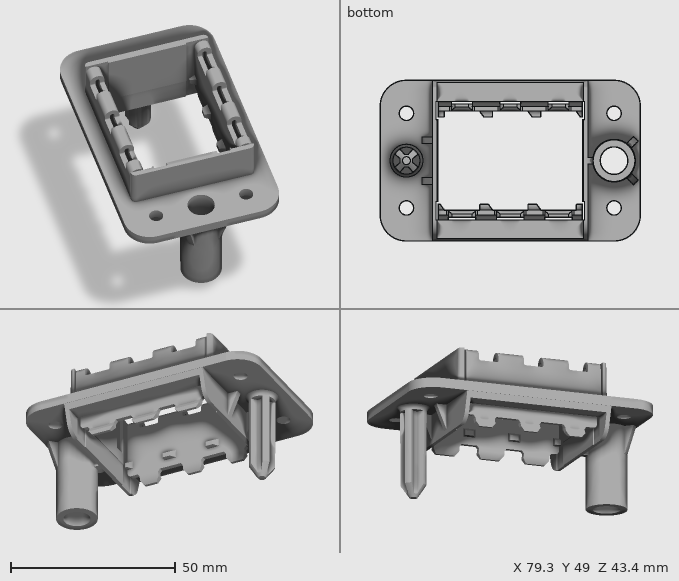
import cadquery as cq
import math

PLATE_LENGTH = 79.3
PLATE_WIDTH = 49.0
PLATE_THICKNESS = 3.0
PLATE_CORNER_RADIUS = 8.0
PLATE_BOTTOM = -PLATE_THICKNESS
FRAME_TOP = 11.9

FASTENER_X = 31.6
SCREW_Y = 14.4
SCREW_DIAMETER = 4.3
BORE_DIAMETER = 8.3

OPENING_HALF_X = 22.05
OPENING_HALF_Y = 18.0
RELIEF_HALF_X = 22.6
RELIEF_START_Y = 12.45

FRAME_HALF_Y = 19.65
END_WALL_BASE_X = 24.45
END_WALL_TOP_X = 24.2
END_WALL_CORNER_RADIUS = 1.5
POCKET_DEPTH = 1.05
POCKET_WIDTH = 4.2
POCKET_CENTRE_Y = 10.1
POCKET_FLOOR = -1.3

SKIRT_OUTER_X = 23.6
SKIRT_HALF_Y = 24.4
SKIRT_BOTTOM = -12.25
SKIRT_SLOPE = math.radians(18)
SKIRT_CORNER_RADIUS = 5.0
SKIRT_INNER_X = 22.25
SILL_BOTTOM = -5.0

SIDE_HALF_LENGTH = 21.95
INNER_WALL_Y = 15.05
INNER_WALL_THICKNESS = 1.5
INNER_WALL_BOTTOM = -8.1
INNER_WALL_CORNER_RADIUS = 1.2
ROLL_RADIUS = (FRAME_HALF_Y - INNER_WALL_Y) / 2
ROLL_Y = INNER_WALL_Y + ROLL_RADIUS
ROLL_Z = FRAME_TOP - ROLL_RADIUS
MODULE_PITCH = 14.7
WINDOW_POSITIONS = (-1, 0, 1)
HOOK_POSITIONS = (-1.5, -0.5, 0.5, 1.5)
WINDOW_BOTTOM = 8.4
WINDOW_CORNER_RADIUS = 0.5
WIDE_WINDOW = 8.35
NARROW_WINDOW = 6.3

TOE_BOTTOM = -11.7
TOE_SLOPE_TOP = -8.9
TOE_SLOPE_BOTTOM = -10.35
TOE_OUTER_Y = 17.3
TOE_CHAMFER = 1.1
TOE_ROOT_FLARE = 0.6
TOE_CURVE_TOP = -8.55
TOE_INNER_FOOT_Y = 16.3

HOOK_WIDTH = 4.0
HOOK_REACH = 1.8
HOOK_ROOT_TOP = -3.0
HOOK_TIP_TOP = -4.1
HOOK_BOTTOM = -5.6
HOOK_CHAMFER_X = 1.3
HOOK_CORNER_RADIUS = 0.4

BOSS_BASE_DIAMETER = 13.0
BOSS_END_DIAMETER = 12.7
BOSS_BOTTOM = -28.6
RIB_THICKNESS = 2.0
BOSS_RIB_REACH = 9.4
BOSS_RIB_BOTTOM = -11.65
BOSS_RIB_ANGLE = 45

GUSSET_Y = 6.2
GUSSET_BASE_X = 26.9
GUSSET_BOTTOM = -10.9

PIN_RADIUS = 4.0
PIN_BOTTOM = -31.5
PIN_TIP_RADIUS = 1.2
PIN_TAPER_START = -27.6
COLLAR_BASE_RADIUS = 5.0
COLLAR_RADIUS = 4.1
COLLAR_FLARE_BOTTOM = -4.5
GROOVE_FLOOR_RADIUS = 1.9
GROOVE_FLOOR_HALF = 0.57
GROOVE_MOUTH_HALF = 1.95

OVERLAP = 0.3

SIDES = (-1, 1)


def box(x0, x1, y0, y1, z0, z1):
    """Axis-aligned block between two opposite corners."""
    return cq.Workplane("XY").box(x1 - x0, y1 - y0, z1 - z0, centered=False).translate((x0, y0, z0))


def symmetric_box(half_x, half_y, z0, z1):
    return box(-half_x, half_x, -half_y, half_y, z0, z1)


def extrude_along_x(profile_yz, half_length):
    """Closed (Y, Z) profile extruded symmetrically about X = 0."""
    return cq.Workplane("YZ").polyline(profile_yz).close().extrude(half_length, both=True)


def extrude_along_y(profile_xz, length, y=0):
    """Closed (X, Z) profile extruded symmetrically about the given Y."""
    solid = cq.Workplane("XZ").polyline(profile_xz).close().extrude(length / 2, both=True)
    return solid.translate((0, y, 0))


def turn_about_z(solid, angle):
    return solid.rotate((0, 0, 0), (0, 0, 1), angle)


def make_plate():
    plate = cq.Workplane("XY").box(PLATE_LENGTH, PLATE_WIDTH, PLATE_THICKNESS)
    plate = plate.translate((0, 0, PLATE_BOTTOM / 2))
    return plate.edges("|Z").fillet(PLATE_CORNER_RADIUS)


def make_skirt():
    """Sloped skirt: deep at both ends, shallow sills along the long sides."""
    foot_y = SKIRT_HALF_Y - (PLATE_BOTTOM - SKIRT_BOTTOM) * math.tan(SKIRT_SLOPE)
    outline = [
        (-SKIRT_HALF_Y, PLATE_BOTTOM),
        (SKIRT_HALF_Y, PLATE_BOTTOM),
        (foot_y, SKIRT_BOTTOM),
        (-foot_y, SKIRT_BOTTOM),
    ]
    skirt = extrude_along_x(outline, SKIRT_OUTER_X)
    skirt = skirt.edges("|X and <Z").fillet(SKIRT_CORNER_RADIUS)
    return skirt.cut(symmetric_box(SKIRT_INNER_X, PLATE_WIDTH, SKIRT_BOTTOM, SILL_BOTTOM))


def make_end_walls():
    """Two end walls with slightly drafted outer faces and rounded outer corners."""
    outline = [
        (-END_WALL_BASE_X, -OVERLAP),
        (END_WALL_BASE_X, -OVERLAP),
        (END_WALL_TOP_X, FRAME_TOP),
        (-END_WALL_TOP_X, FRAME_TOP),
    ]
    block = extrude_along_y(outline, 2 * FRAME_HALF_Y)
    block = block.edges("not(#Z or |X or |Y)").fillet(END_WALL_CORNER_RADIUS)
    block = block.cut(symmetric_box(OPENING_HALF_X, PLATE_WIDTH, 0, FRAME_TOP))
    for side in SIDES:
        end_y = sorted((side * RELIEF_START_Y, side * PLATE_WIDTH))
        block = block.cut(box(-RELIEF_HALF_X, RELIEF_HALF_X, *end_y, 0, FRAME_TOP))
    return block


def cut_opening(body):
    """Central opening, widened at its four corners, right through plate and skirt."""
    body = body.cut(symmetric_box(OPENING_HALF_X, OPENING_HALF_Y, SKIRT_BOTTOM, 0))
    for side in SIDES:
        end_y = sorted((side * RELIEF_START_Y, side * OPENING_HALF_Y))
        body = body.cut(box(-RELIEF_HALF_X, RELIEF_HALF_X, *end_y, SKIRT_BOTTOM, 0))
    return body


def cut_pockets(body):
    """Two open-topped pockets in the inner face of the +X end wall."""
    for side in SIDES:
        y0 = side * POCKET_CENTRE_Y - POCKET_WIDTH / 2
        pocket_x = (OPENING_HALF_X, OPENING_HALF_X + POCKET_DEPTH)
        body = body.cut(box(*pocket_x, y0, y0 + POCKET_WIDTH, POCKET_FLOOR, FRAME_TOP))
    return body


def make_rolled_wall():
    """Outer wall, rolled top and hanging inner wall of the +Y side."""
    inner_face = INNER_WALL_Y + INNER_WALL_THICKNESS
    roll_bore = (OPENING_HALF_Y - inner_face) / 2
    profile = (
        cq.Workplane("YZ")
        .moveTo(FRAME_HALF_Y, -OVERLAP)
        .lineTo(FRAME_HALF_Y, ROLL_Z)
        .threePointArc((ROLL_Y, FRAME_TOP), (INNER_WALL_Y, ROLL_Z))
        .lineTo(INNER_WALL_Y, INNER_WALL_BOTTOM)
        .lineTo(inner_face, INNER_WALL_BOTTOM)
        .lineTo(inner_face, ROLL_Z)
        .threePointArc(((inner_face + OPENING_HALF_Y) / 2, ROLL_Z + roll_bore), (OPENING_HALF_Y, ROLL_Z))
        .lineTo(OPENING_HALF_Y, -OVERLAP)
        .close()
    )
    wall = profile.extrude(SIDE_HALF_LENGTH, both=True)
    return wall.edges("|Y and <Z").fillet(INNER_WALL_CORNER_RADIUS)


def make_toe(width):
    """Toe hanging below the inner wall with an outward ramped catch and a back that curves under."""
    inner_face = INNER_WALL_Y + INNER_WALL_THICKNESS
    root_z = INNER_WALL_BOTTOM + OVERLAP
    half = width / 2
    root_half = half + TOE_ROOT_FLARE
    tip_half = half - TOE_CHAMFER
    profile = (
        cq.Workplane("YZ")
        .moveTo(TOE_INNER_FOOT_Y, TOE_BOTTOM)
        .lineTo(TOE_OUTER_Y, TOE_BOTTOM)
        .lineTo(TOE_OUTER_Y, TOE_SLOPE_BOTTOM)
        .lineTo(inner_face, TOE_SLOPE_TOP)
        .lineTo(inner_face, root_z)
        .lineTo(INNER_WALL_Y, root_z)
        .lineTo(INNER_WALL_Y, TOE_CURVE_TOP)
        .tangentArcPoint((TOE_INNER_FOOT_Y, TOE_BOTTOM), relative=False)
        .close()
    )
    outline = [
        (-root_half, root_z),
        (root_half, root_z),
        (root_half, INNER_WALL_BOTTOM),
        (half, TOE_SLOPE_TOP),
        (half, TOE_SLOPE_BOTTOM),
        (tip_half, TOE_BOTTOM),
        (-tip_half, TOE_BOTTOM),
        (-half, TOE_SLOPE_BOTTOM),
        (-half, TOE_SLOPE_TOP),
        (-root_half, INNER_WALL_BOTTOM),
    ]
    return profile.extrude(root_half, both=True).intersect(extrude_along_y(outline, PLATE_WIDTH))


def make_hook():
    """Hook on the inner wall with a sloped top, bevelled on its +X flank."""
    half = HOOK_WIDTH / 2
    root_y = INNER_WALL_Y + OVERLAP
    tip_y = INNER_WALL_Y - HOOK_REACH
    outline = [
        (-half, root_y),
        (-half, tip_y),
        (half - HOOK_CHAMFER_X, tip_y),
        (half, INNER_WALL_Y),
        (half, root_y),
    ]
    hook = cq.Workplane("XY").workplane(offset=HOOK_BOTTOM).polyline(outline).close()
    hook = hook.extrude(HOOK_ROOT_TOP - HOOK_BOTTOM)
    hook = hook.edges("|Z and <Y").fillet(HOOK_CORNER_RADIUS)
    side_profile = [
        (root_y, HOOK_BOTTOM),
        (root_y, HOOK_ROOT_TOP),
        (INNER_WALL_Y, HOOK_ROOT_TOP),
        (tip_y, HOOK_TIP_TOP),
        (tip_y, HOOK_BOTTOM),
    ]
    return hook.intersect(extrude_along_x(side_profile, HOOK_WIDTH))


def make_long_side(window_width):
    """Complete +Y side with its windows, toes and hooks."""
    side = make_rolled_wall()
    window = box(-window_width / 2, window_width / 2, 0, PLATE_WIDTH / 2, WINDOW_BOTTOM, 2 * FRAME_TOP)
    window = window.edges("|Y and <Z").fillet(WINDOW_CORNER_RADIUS)
    toe = make_toe(window_width)
    for index in WINDOW_POSITIONS:
        shift = (index * MODULE_PITCH, 0, 0)
        side = side.cut(window.translate(shift)).union(toe.translate(shift))
    hook = make_hook()
    limits = symmetric_box(SIDE_HALF_LENGTH, PLATE_WIDTH, SKIRT_BOTTOM, FRAME_TOP)
    for index in HOOK_POSITIONS:
        side = side.union(hook.translate((index * MODULE_PITCH, 0, 0)).intersect(limits))
    return side


def make_boss():
    """Tapered boss with two angled ribs and a web to the end skirt."""
    base_radius = BOSS_BASE_DIAMETER / 2
    end_radius = BOSS_END_DIAMETER / 2
    profile = [
        (0, PLATE_BOTTOM),
        (base_radius, PLATE_BOTTOM),
        (end_radius, BOSS_BOTTOM),
        (0, BOSS_BOTTOM),
    ]
    boss = cq.Workplane("XZ").polyline(profile).close().revolve(360, (0, 0), (0, 1))
    rib_profile = [
        (0, PLATE_BOTTOM),
        (BOSS_RIB_REACH, PLATE_BOTTOM),
        (base_radius, BOSS_RIB_BOTTOM),
        (0, BOSS_RIB_BOTTOM),
    ]
    rib = extrude_along_y(rib_profile, RIB_THICKNESS)
    for side in SIDES:
        boss = boss.union(turn_about_z(rib, side * BOSS_RIB_ANGLE))
    boss = boss.translate((FASTENER_X, 0, 0))
    half_web = RIB_THICKNESS / 2
    web_start = SKIRT_OUTER_X - OVERLAP
    return boss.union(box(web_start, FASTENER_X, -half_web, half_web, SKIRT_BOTTOM, PLATE_BOTTOM))


def make_pin():
    """Slightly drafted guide pin with flared collar, conical tip and four lengthwise grooves."""
    profile = (
        cq.Workplane("XZ")
        .moveTo(0, PIN_BOTTOM)
        .lineTo(PIN_TIP_RADIUS, PIN_BOTTOM)
        .lineTo(PIN_RADIUS, PIN_TAPER_START)
        .lineTo(COLLAR_RADIUS, COLLAR_FLARE_BOTTOM)
        .tangentArcPoint((COLLAR_BASE_RADIUS, PLATE_BOTTOM), relative=False)
        .lineTo(0, PLATE_BOTTOM)
        .close()
    )
    pin = profile.revolve(360, (0, 0), (0, 1))
    mouth_y = math.sqrt(PIN_RADIUS**2 - GROOVE_MOUTH_HALF**2)
    flank_slope = (GROOVE_MOUTH_HALF - GROOVE_FLOOR_HALF) / (mouth_y - GROOVE_FLOOR_RADIUS)
    outer_y = COLLAR_BASE_RADIUS
    outer_half = GROOVE_FLOOR_HALF + flank_slope * (outer_y - GROOVE_FLOOR_RADIUS)
    outline = [
        (-GROOVE_FLOOR_HALF, GROOVE_FLOOR_RADIUS),
        (GROOVE_FLOOR_HALF, GROOVE_FLOOR_RADIUS),
        (outer_half, outer_y),
        (-outer_half, outer_y),
    ]
    groove = cq.Workplane("XY").workplane(offset=PIN_BOTTOM).polyline(outline).close()
    groove = groove.extrude(COLLAR_FLARE_BOTTOM - PIN_BOTTOM)
    for angle in (0, 90, 180, 270):
        pin = pin.cut(turn_about_z(groove, angle))
    return pin.translate((-FASTENER_X, 0, 0))


def make_pin_side_gussets():
    """Two triangular gussets between the plate and the -X end skirt."""
    root_x = -SKIRT_OUTER_X + OVERLAP
    profile = [
        (-GUSSET_BASE_X, PLATE_BOTTOM),
        (root_x, PLATE_BOTTOM),
        (root_x, GUSSET_BOTTOM),
        (-SKIRT_OUTER_X, GUSSET_BOTTOM),
    ]
    gussets = extrude_along_y(profile, RIB_THICKNESS, GUSSET_Y)
    return gussets.union(extrude_along_y(profile, RIB_THICKNESS, -GUSSET_Y))


def drill_holes(body):
    """Four screw holes through the plate and the bore through the boss."""
    for side_x in SIDES:
        for side_y in SIDES:
            centre = (side_x * FASTENER_X, side_y * SCREW_Y)
            hole = cq.Workplane("XY").center(*centre).circle(SCREW_DIAMETER / 2).extrude(PLATE_BOTTOM)
            body = body.cut(hole)
    bore = cq.Workplane("XY").center(FASTENER_X, 0).circle(BORE_DIAMETER / 2).extrude(BOSS_BOTTOM)
    return body.cut(bore)


frame = make_plate().union(make_skirt())
frame = frame.union(make_end_walls())
frame = cut_opening(frame)
frame = cut_pockets(frame)
frame = frame.union(make_pin_side_gussets())
frame = frame.union(make_boss()).union(make_pin())
frame = drill_holes(frame)

back_side = make_long_side(WIDE_WINDOW)
front_side = turn_about_z(make_long_side(NARROW_WINDOW), 180)
result = frame.union(back_side).union(front_side)